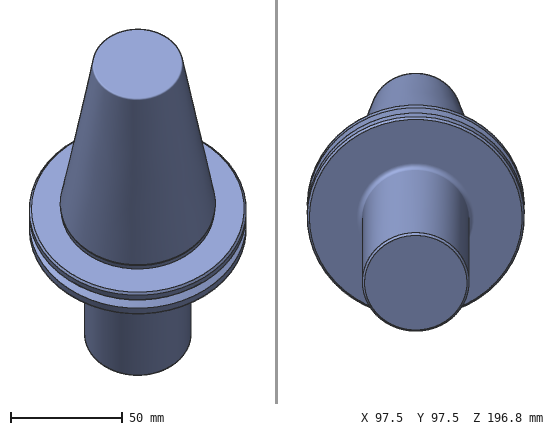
import cadquery as cq

total_height = 196.8
flange_bottom = 76.1
flange_thickness = 15.5
flange_top = flange_bottom + flange_thickness
gauge_height = 3.5
gauge_level = flange_top + gauge_height

flange_radius = 97.5 / 2
groove_radius = 45.5
taper_large_radius = 69.8 / 2
taper_small_radius = 20.3
shank_radius = 24.0

groove_bottom = 81.3
groove_top = 87.5
groove_wall_height = 1.67

relief_depth = 0.4
relief_bevel_height = 1.2

flange_chamfer = 1.0
end_chamfer = 1.0
taper_end_fillet = 0.8
root_fillet = 2.4


def make_shank():
    """Straight cylinder with a chamfered free end."""
    shank = cq.Workplane("XY").circle(shank_radius).extrude(flange_bottom)
    return shank.faces("<Z").chamfer(end_chamfer)


def make_flange():
    """Chamfered disc with a V-groove in its rim."""
    disc = cq.Workplane("XY").workplane(offset=flange_bottom)
    disc = disc.circle(flange_radius).extrude(flange_thickness)
    disc = disc.edges("<Z or >Z").chamfer(flange_chamfer)
    groove = (
        cq.Workplane("XZ")
        .moveTo(flange_radius, groove_bottom)
        .lineTo(groove_radius, groove_bottom + groove_wall_height)
        .lineTo(groove_radius, groove_top - groove_wall_height)
        .lineTo(flange_radius, groove_top)
        .close()
        .revolve(360, (0, 0, 0), (0, 1, 0))
    )
    return disc.cut(groove)


def make_taper():
    """Cone with a rounded tip, standing on a slightly narrower collar."""
    relief_radius = taper_large_radius - relief_depth
    cone = (
        cq.Workplane("XZ")
        .moveTo(0, flange_top)
        .lineTo(relief_radius, flange_top)
        .lineTo(relief_radius, gauge_level - relief_bevel_height)
        .lineTo(taper_large_radius, gauge_level)
        .lineTo(taper_small_radius, total_height)
        .lineTo(0, total_height)
        .close()
        .revolve(360, (0, 0, 0), (0, 1, 0))
    )
    return cone.faces(">Z").edges().fillet(taper_end_fillet)


def make_root_fillet():
    """Concave ring that blends the shank into the underside of the flange."""
    return (
        cq.Workplane("XZ")
        .moveTo(0, flange_bottom)
        .lineTo(shank_radius + root_fillet, flange_bottom)
        .radiusArc((shank_radius, flange_bottom - root_fillet), -root_fillet)
        .lineTo(0, flange_bottom - root_fillet)
        .close()
        .revolve(360, (0, 0, 0), (0, 1, 0))
    )


result = make_shank().union(make_root_fillet()).union(make_flange()).union(make_taper())